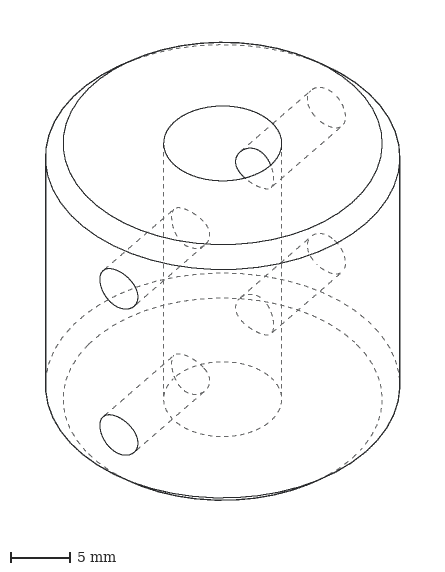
import cadquery as cq

outer_diameter = 30.0
height = 28.0
edge_chamfer = 1.5
bore_diameter = 10.0
cross_hole_diameter = 4.0
cross_hole_end_distance = 6.0

cross_hole_offset = height / 2 - cross_hole_end_distance


def collar_body():
    """Cylinder with chamfered rims and an axial through bore."""
    body = cq.Workplane("XY").cylinder(height, outer_diameter / 2)
    body = body.edges("%CIRCLE").chamfer(edge_chamfer)
    bore = cq.Workplane("XY").cylinder(height, bore_diameter / 2)
    return body.cut(bore)


def cross_holes():
    """Two holes along Y that pass through both walls of the collar."""
    return (
        cq.Workplane("XZ")
        .pushPoints([(0, -cross_hole_offset), (0, cross_hole_offset)])
        .circle(cross_hole_diameter / 2)
        .extrude(outer_diameter / 2, both=True)
    )


result = collar_body().cut(cross_holes())